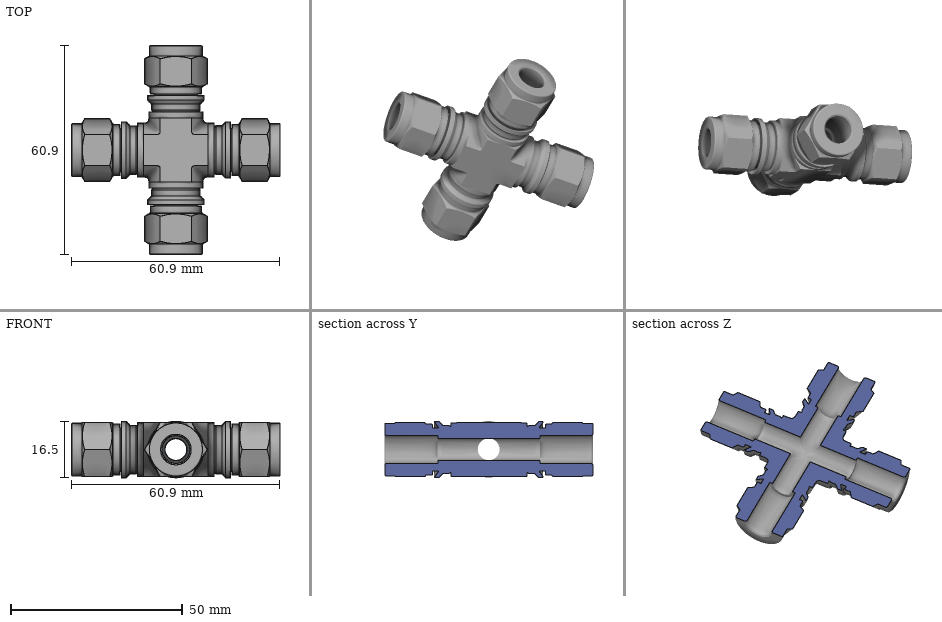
import cadquery as cq
import math

half_span = 30.47
across_flats = 15.875
body_half_length = 9.4
corner_fillet = 1.0

collar_diameter = 15.8
neck_diameter = 14.2
neck_chamfer_length = 0.55
neck_chamfer_angle = 30.0
ring_diameter = 16.5
ring_recess_diameter = 16.1
ring_recess_depth = 1.2
groove_diameter = 12.7
collar_end = 11.15
neck_cone_start = 13.4
ring_start = neck_cone_start + (ring_diameter - neck_diameter) / 2
ring_end = 15.93

nut_shank_diameter = 15.0
nut_shank_chamfer = 0.1
nut_shank_chamfer_length = 0.4
nut_nose_diameter = 15.5
nut_nose_round = 0.4
nut_start = 16.4
hex_start = 18.4
hex_end = 27.45
hex_chamfer_angle = 30.0

through_diameter = 6.35
tube_diameter = 8.14
tube_seat = 15.0
mouth_chamfer = 0.4

arm_angles = (0, 90, 180, 270)
position_tolerance = 0.001


def around_z(shape, angle):
    """Copy of a shape turned about the vertical axis."""
    return shape.rotate((0, 0, 0), (0, 0, 1), angle)


def revolve_about_x(profile):
    """Turn a closed (axial, radius) outline about the X axis."""
    return cq.Workplane("XY").polyline(profile).close().revolve(360, (0, 0, 0), (1, 0, 0))


def cylinder_x(diameter, start, end):
    """Solid cylinder along the X axis."""
    return cq.Workplane("YZ").workplane(offset=start).circle(diameter / 2).extrude(end - start)


def body_bar():
    """Bar along X: hexagon with its two side corners rounded to the inscribed circle."""
    radius = across_flats / 2
    half_sector = math.pi / 6
    flat_half = radius * math.tan(half_sector)
    tangent_y = radius * math.cos(half_sector)
    tangent_z = radius * math.sin(half_sector)
    return (
        cq.Workplane("YZ")
        .workplane(offset=-body_half_length)
        .moveTo(-flat_half, radius)
        .lineTo(flat_half, radius)
        .lineTo(tangent_y, tangent_z)
        .threePointArc((radius, 0), (tangent_y, -tangent_z))
        .lineTo(flat_half, -radius)
        .lineTo(-flat_half, -radius)
        .lineTo(-tangent_y, -tangent_z)
        .threePointArc((-radius, 0), (-tangent_y, tangent_z))
        .close()
        .extrude(2 * body_half_length)
    )


def on_diagonal(edge):
    """True for an edge lying on the diagonal plane between two neighbouring arms."""
    centre = edge.Center()
    return abs(abs(centre.x) - abs(centre.y)) < position_tolerance


def cross_body():
    """Two crossing bars with the four inner corners filleted."""
    bar = body_bar()
    cross = bar.union(around_z(bar, 90))
    return cross.edges().filter(on_diagonal).fillet(corner_fillet)


def turned_end():
    """Collar, relieved neck, cone and ring on one end of the body."""
    collar_radius = collar_diameter / 2
    neck_radius = neck_diameter / 2
    ring_radius = ring_diameter / 2
    groove_radius = groove_diameter / 2
    recess_radius = ring_recess_diameter / 2
    recess_floor = ring_end - ring_recess_depth
    relief_radius = neck_radius - neck_chamfer_length * math.tan(math.radians(neck_chamfer_angle))
    return revolve_about_x([
        (0, 0),
        (0, groove_radius),
        (body_half_length, groove_radius),
        (body_half_length, collar_radius),
        (collar_end, collar_radius),
        (collar_end, relief_radius),
        (collar_end + neck_chamfer_length, neck_radius),
        (neck_cone_start, neck_radius),
        (ring_start, ring_radius),
        (ring_end, ring_radius),
        (ring_end, recess_radius),
        (recess_floor, groove_radius),
        (nut_start, groove_radius),
        (nut_start, 0),
    ])


def nut():
    """Hexagon nut with flats facing up and down, a round shank and a rounded nose."""
    shank_radius = nut_shank_diameter / 2
    shank = revolve_about_x([
        (nut_start, 0),
        (nut_start, shank_radius - nut_shank_chamfer),
        (nut_start + nut_shank_chamfer_length, shank_radius),
        (hex_start, shank_radius),
        (hex_start, 0),
    ])
    nose = cylinder_x(nut_nose_diameter, hex_start, half_span).faces(">X").edges().fillet(nut_nose_round)

    corner_radius = across_flats / math.sqrt(3)
    nose_radius = nut_nose_diameter / 2
    chamfer_slope = math.tan(math.radians(hex_chamfer_angle))
    inner_chamfer_length = (corner_radius - shank_radius) * chamfer_slope
    outer_chamfer_length = (corner_radius - nose_radius) * chamfer_slope
    hexagon = (
        cq.Workplane("YZ")
        .workplane(offset=hex_start)
        .polygon(6, 2 * corner_radius)
        .extrude(hex_end - hex_start)
    )
    chamfer_envelope = revolve_about_x([
        (hex_start, 0),
        (hex_start, shank_radius),
        (hex_start + inner_chamfer_length, corner_radius),
        (hex_end - outer_chamfer_length, corner_radius),
        (hex_end, nose_radius),
        (hex_end, 0),
    ])
    return shank.union(hexagon.intersect(chamfer_envelope)).union(nose)


def arm_bore():
    """Through passage, tube socket and chamfered mouth of one arm."""
    tube_radius = tube_diameter / 2
    return revolve_about_x([
        (0, 0),
        (0, through_diameter / 2),
        (tube_seat, through_diameter / 2),
        (tube_seat, tube_radius),
        (half_span - mouth_chamfer, tube_radius),
        (half_span, tube_radius + mouth_chamfer),
        (half_span, 0),
    ])


arm = turned_end().union(nut())
bore = arm_bore()

result = cross_body()
for arm_angle in arm_angles:
    result = result.union(around_z(arm, arm_angle))
for arm_angle in arm_angles:
    result = result.cut(around_z(bore, arm_angle))